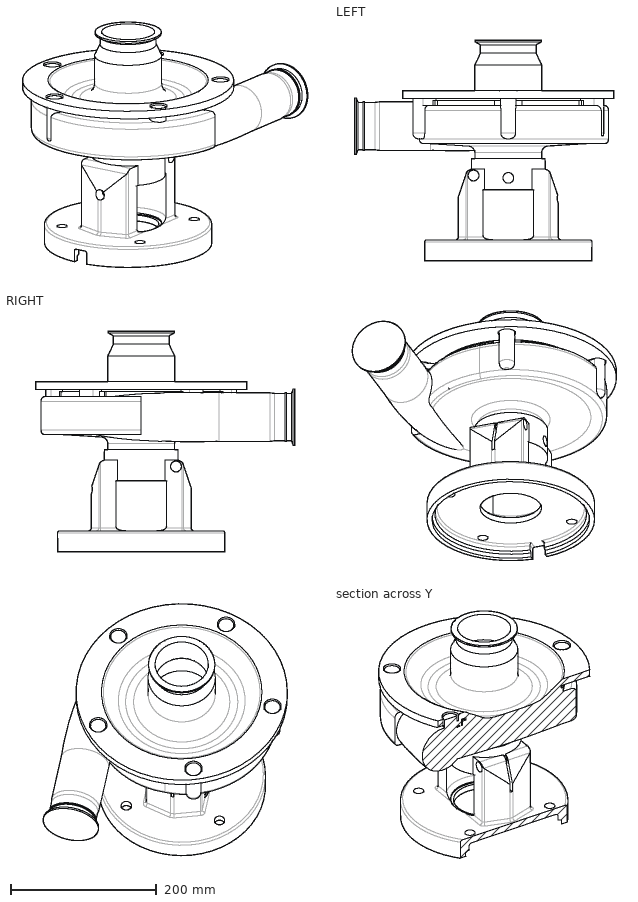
import cadquery as cq
import math

base_height = 29.0
hub_bottom = 97.5
leg_top = 126.0
hub_top = 140.5
neck_straight_top = 148.5
volute_underside_at_neck = 157.5
volute_bottom = 161.0
volute_top = 213.5
cover_bottom = 222.8
cover_top = 233.7
overall_height = 303.0

margin = 1.0

base_radius = 115.0
base_edge_radius = 3.0
base_bolt_count = 4
base_bolt_first_angle = 45.0
base_bolt_circle_radius = 92.0
base_bolt_radius = 7.0
bore_radius = 42.0
bore_lip_radius = 46.0
bore_lip_depth = 1.8
register_radius = 108.0
register_depth = 6.2
recess_radius = 104.0
recess_taper_top = 8.7
recess_depth = 18.5
recess_corner_radius = 3.0
notch_width = 20.4
notch_height = 18.5
notch_corner_radius = 2.5

leg_half_width = 39.0
leg_corner_reach = 57.5
leg_ridge_reach = 68.7
leg_ridge_width = 5.0
leg_inner_radius = 52.0
leg_edge_radius = 2.5
leg_foot_radius = 4.0
leg_top_radius = 9.0
slope_top = 121.0
slope_bottom = 88.0
front_hole_height = 86.0
front_hole_radius = 7.0
clamp_slot_width = 3.5
clamp_slot_bottom = 75.0
clamp_bolt_reach = 47.7
clamp_bolt_height = 117.3
clamp_bolt_radius = 7.3

hub_radius = 50.7
neck_radius = 46.0
neck_flare = 8.0
neck_flare_radius = 9.0
underside_slope_radius = 110.0
hub_hole_radius = 7.3
hub_hole_height = 114.0
hub_hole_depth = 8.0

spiral_start_radius = 122.0
spiral_end_radius = 145.5
spiral_start_angle = 90.0
spiral_sweep = 270.0
spiral_steps = 9
volute_top_edge_radius = 7.0
volute_bottom_edge_radius = 6.0
collar_radius = 110.0
collar_top = 220.0
collar_neck_radius = 108.0

cover_radius = 145.0
dish_rim_radius = 110.0
dish_lip_radius = 107.5
dish_lip_depth = 1.5
dish_wall_bottom_radius = 87.0
dish_floor_radius = 77.0
dish_inner_radius = 66.0
dish_wall_bottom = 212.0
dish_floor = 209.0
dish_corner_mid = (82.0, 209.8)

bolt_count = 5
bolt_first_angle = 180.0
bolt_circle_radius = 126.7
bolt_radius = 10.5
bolt_hole_radius = 11.9
bolt_top = cover_top - 2.0
bolt_bottom = 167.5
bolt_end_radius = 8.0
pad_width = 38.0
pad_reach = 112.0

inlet_flange_radius = 45.5
inlet_flange_thickness = 2.5
inlet_flange_bevel = 6.5
inlet_ferrule_radius = 38.5
inlet_ferrule_bottom = 285.0
inlet_pipe_radius = 46.1
inlet_pipe_top = 269.0
inlet_bore_radius = 36.4
inlet_bore_bottom = 262.0
inlet_chamber_radius = 42.0
inlet_chamber_top = 255.0

outlet_x = 115.0
outlet_z = 185.0
outlet_end = 210.91
outlet_radius = 33.5
outlet_start = 107.0
throat_mid_shift = 4.0
throat_mid_radius = 32.0
throat_tail = 70.0
throat_end_shift = 24.0
throat_end_radius = 22.0
outlet_flange_radius = 38.66
outlet_flange_thickness = 2.5
outlet_flange_bevel = 5.0
outlet_ferrule_radius = 32.6
outlet_cone_start = 177.0
outlet_cone_end = 183.0
weld_bead_start = 197.5
weld_bead_end = 199.5


def cylinder(radius, bottom, top):
    return cq.Workplane("XY").workplane(offset=bottom).circle(radius).extrude(top - bottom)


def make_base():
    base = cylinder(base_radius, 0, base_height)
    return base.faces(">Z").edges().fillet(base_edge_radius)


def make_leg(side):
    """One V-fronted leg on the +Y (side=1) or -Y (side=-1) half of the bracket."""
    half_ridge = leg_ridge_width / 2
    outline = [
        (-leg_half_width, 0),
        (-leg_half_width, side * leg_corner_reach),
        (-half_ridge, side * leg_ridge_reach),
        (half_ridge, side * leg_ridge_reach),
        (leg_half_width, side * leg_corner_reach),
        (leg_half_width, 0),
    ]
    leg = cq.Workplane("XY").workplane(offset=base_height).polyline(outline).close()
    leg = leg.extrude(leg_top - base_height)
    corner = cq.selectors.BoxSelector(
        (-leg_half_width - margin, side * leg_corner_reach - margin, 0),
        (leg_half_width + margin, side * leg_corner_reach + margin, leg_top),
    )
    leg = leg.edges("|Z").edges(corner).fillet(leg_edge_radius)

    run_per_rise = (leg_ridge_reach - leg_corner_reach) / (slope_top - slope_bottom)
    reach_at_top = leg_corner_reach - run_per_rise * (leg_top - slope_top)
    side_profile = [
        (0, base_height),
        (side * leg_ridge_reach, base_height),
        (side * leg_ridge_reach, slope_bottom),
        (side * reach_at_top, leg_top),
        (0, leg_top),
    ]
    envelope = cq.Workplane("YZ").polyline(side_profile).close().extrude(leg_half_width, both=True)
    outer_top_edge = cq.selectors.NearestToPointSelector((0, side * reach_at_top, leg_top))
    envelope = envelope.edges(outer_top_edge).fillet(leg_top_radius)
    return leg.intersect(envelope)


def make_bracket():
    bracket = make_base().union(make_leg(1)).union(make_leg(-1))
    foot = cq.selectors.BoxSelector(
        (-leg_half_width - margin, -leg_ridge_reach - margin, base_height - margin),
        (leg_half_width + margin, leg_ridge_reach + margin, base_height + margin),
    )
    bracket = bracket.edges(foot).fillet(leg_foot_radius)

    bore_flare = leg_inner_radius - bore_lip_radius
    lip_bottom = base_height - bore_lip_depth
    bore = (
        cq.Workplane("XZ")
        .moveTo(0, 0)
        .lineTo(register_radius, 0)
        .lineTo(register_radius, register_depth)
        .lineTo(recess_radius, recess_taper_top)
        .lineTo(recess_radius, recess_depth - recess_corner_radius)
        .radiusArc((recess_radius - recess_corner_radius, recess_depth), -recess_corner_radius)
        .lineTo(bore_radius, recess_depth)
        .lineTo(bore_radius, lip_bottom)
        .lineTo(bore_lip_radius, lip_bottom)
        .lineTo(bore_lip_radius, base_height)
        .radiusArc((leg_inner_radius, base_height + bore_flare), -bore_flare)
        .lineTo(leg_inner_radius, hub_bottom)
        .lineTo(0, hub_bottom)
        .close()
        .revolve(360, (0, 0), (0, 1))
    )
    bracket = bracket.cut(bore)

    for index in range(base_bolt_count):
        angle = math.radians(base_bolt_first_angle + 360 / base_bolt_count * index)
        hole_x = base_bolt_circle_radius * math.cos(angle)
        hole_y = base_bolt_circle_radius * math.sin(angle)
        hole = cylinder(base_bolt_radius, 0, base_height).translate((hole_x, hole_y, 0))
        bracket = bracket.cut(hole)

    notch = cq.Workplane("XY").box(notch_width, base_radius, notch_height, centered=(True, False, False))
    notch = notch.translate((0, -base_radius, 0)).edges("|Y and >Z").fillet(notch_corner_radius)
    bracket = bracket.cut(notch)

    front_hole = cq.Workplane("XZ").center(0, front_hole_height).circle(front_hole_radius)
    bracket = bracket.cut(front_hole.extrude(leg_ridge_reach))
    slot = cq.Workplane("XY").box(
        clamp_slot_width, leg_ridge_reach, leg_top - clamp_slot_bottom, centered=(True, False, False)
    )
    return bracket.cut(slot.translate((0, 0, clamp_slot_bottom)))


def make_hub():
    """Hub, necked section and the shallow cone under the volute, as one turned piece."""
    return (
        cq.Workplane("XZ")
        .moveTo(0, hub_bottom)
        .lineTo(hub_radius, hub_bottom)
        .lineTo(hub_radius, hub_top)
        .lineTo(neck_radius, hub_top)
        .lineTo(neck_radius, neck_straight_top)
        .radiusArc((neck_radius + neck_flare, volute_underside_at_neck), neck_flare_radius)
        .lineTo(underside_slope_radius, volute_bottom)
        .lineTo(0, volute_bottom)
        .close()
        .revolve(360, (0, 0), (0, 1))
    )


def spiral_point(step):
    fraction = step / spiral_steps
    angle = math.radians(spiral_start_angle + spiral_sweep * fraction)
    radius = spiral_start_radius + (spiral_end_radius - spiral_start_radius) * fraction
    return (radius * math.cos(angle), radius * math.sin(angle))


def make_volute():
    points = [spiral_point(step) for step in range(spiral_steps + 1)]
    quarter_mid = spiral_start_radius * math.sqrt(0.5)
    volute = (
        cq.Workplane("XY")
        .workplane(offset=volute_bottom)
        .moveTo(*points[0])
        .spline(points[1:], includeCurrent=True)
        .lineTo(spiral_start_radius, 0)
        .threePointArc((quarter_mid, quarter_mid), points[0])
        .close()
        .extrude(volute_top - volute_bottom)
    )
    wall_x, wall_y = points[spiral_steps // 2]
    top_edge = cq.selectors.NearestToPointSelector((wall_x, wall_y, volute_top))
    bottom_edge = cq.selectors.NearestToPointSelector((wall_x, wall_y, volute_bottom))
    volute = volute.edges(top_edge).fillet(volute_top_edge_radius)
    volute = volute.edges(bottom_edge).fillet(volute_bottom_edge_radius)
    volute = volute.union(cylinder(collar_radius, volute_top, collar_top))
    return volute.union(cylinder(collar_neck_radius, collar_top, cover_bottom))


def make_outlet():
    flange_back = outlet_end - outlet_flange_thickness
    bevel_back = outlet_end - outlet_flange_bevel
    pipe = (
        cq.Workplane("XY")
        .moveTo(0, outlet_start)
        .lineTo(outlet_radius, outlet_start)
        .lineTo(outlet_radius, outlet_cone_start)
        .lineTo(outlet_ferrule_radius, outlet_cone_end)
        .lineTo(outlet_ferrule_radius, weld_bead_start)
        .lineTo(outlet_radius, weld_bead_start)
        .lineTo(outlet_radius, weld_bead_end)
        .lineTo(outlet_ferrule_radius, weld_bead_end)
        .lineTo(outlet_ferrule_radius, bevel_back)
        .lineTo(outlet_flange_radius, flange_back)
        .lineTo(outlet_flange_radius, outlet_end)
        .lineTo(0, outlet_end)
        .close()
        .revolve(360, (0, 0), (0, 1))
        .translate((outlet_x, 0, outlet_z))
    )
    throat = (
        cq.Workplane("XZ", origin=(outlet_x, outlet_start, outlet_z))
        .circle(outlet_radius)
        .workplane(offset=outlet_start)
        .center(-throat_mid_shift, 0)
        .circle(throat_mid_radius)
        .workplane(offset=throat_tail)
        .center(throat_mid_shift - throat_end_shift, 0)
        .circle(throat_end_radius)
        .loft()
    )
    return pipe.union(throat)


def make_cover():
    return cylinder(cover_radius, cover_bottom, cover_top)


def make_dish():
    """Ring-shaped hollow in the top of the casing, around the inlet pipe."""
    pipe_foot = dish_floor + dish_inner_radius - inlet_pipe_radius
    return (
        cq.Workplane("XZ")
        .moveTo(inlet_pipe_radius, cover_top)
        .lineTo(dish_rim_radius, cover_top)
        .lineTo(dish_lip_radius, cover_top - dish_lip_depth)
        .lineTo(dish_wall_bottom_radius, dish_wall_bottom)
        .threePointArc(dish_corner_mid, (dish_floor_radius, dish_floor))
        .lineTo(dish_inner_radius, dish_floor)
        .radiusArc((inlet_pipe_radius, pipe_foot), dish_inner_radius - inlet_pipe_radius)
        .close()
        .revolve(360, (0, 0), (0, 1))
    )


def make_inlet():
    return (
        cq.Workplane("XZ")
        .moveTo(0, cover_bottom)
        .lineTo(inlet_pipe_radius, cover_bottom)
        .lineTo(inlet_pipe_radius, inlet_pipe_top)
        .lineTo(inlet_ferrule_radius, inlet_ferrule_bottom)
        .lineTo(inlet_ferrule_radius, overall_height - inlet_flange_bevel)
        .lineTo(inlet_flange_radius, overall_height - inlet_flange_thickness)
        .lineTo(inlet_flange_radius, overall_height)
        .lineTo(0, overall_height)
        .close()
        .revolve(360, (0, 0), (0, 1))
    )


def make_inlet_bore():
    """Bore that widens below the ferrule and ends level with the underside of the cover."""
    return (
        cq.Workplane("XZ")
        .moveTo(0, cover_bottom)
        .lineTo(inlet_chamber_radius, cover_bottom)
        .lineTo(inlet_chamber_radius, inlet_chamber_top)
        .lineTo(inlet_bore_radius, inlet_bore_bottom)
        .lineTo(inlet_bore_radius, overall_height)
        .lineTo(0, overall_height)
        .close()
        .revolve(360, (0, 0), (0, 1))
    )


def bolt_places():
    return [bolt_first_angle + index * 360 / bolt_count for index in range(bolt_count)]


def place_around(shape, angle):
    return shape.rotate((0, 0, 0), (0, 0, 1), angle)


def make_bolt():
    bolt = cylinder(bolt_radius, bolt_bottom, bolt_top)
    bolt = bolt.faces("<Z").edges().fillet(bolt_end_radius)
    return bolt.translate((bolt_circle_radius, 0, 0))


def make_bolt_pad():
    """Wide pad beside the collar and the narrow web that ties it to the bolt."""
    along_radius = (False, True, False)
    pad = cq.Workplane("XY").box(pad_reach, pad_width, collar_top - volute_top, centered=along_radius)
    web = cq.Workplane("XY").box(
        bolt_circle_radius, 2 * bolt_radius, cover_bottom - volute_top, centered=along_radius
    )
    return pad.union(web).translate((0, 0, volute_top))


casing = make_volute().union(make_outlet()).union(make_cover())
for angle in bolt_places():
    hole = cylinder(bolt_hole_radius, cover_bottom, cover_top).translate((bolt_circle_radius, 0, 0))
    casing = casing.cut(place_around(hole, angle))
    casing = casing.union(place_around(make_bolt_pad(), angle))
    casing = casing.union(place_around(make_bolt(), angle))
casing = casing.cut(make_dish()).union(make_inlet()).cut(make_inlet_bore())

result = casing.union(make_hub()).union(make_bracket())

clamp_bolt_hole = cq.Workplane("YZ").center(clamp_bolt_reach, clamp_bolt_height).circle(clamp_bolt_radius)
result = result.cut(clamp_bolt_hole.extrude(leg_half_width + margin, both=True))

hub_hole = cq.Workplane("YZ", origin=(-hub_radius, 0, hub_hole_height)).circle(hub_hole_radius)
result = result.cut(hub_hole.extrude(hub_hole_depth))